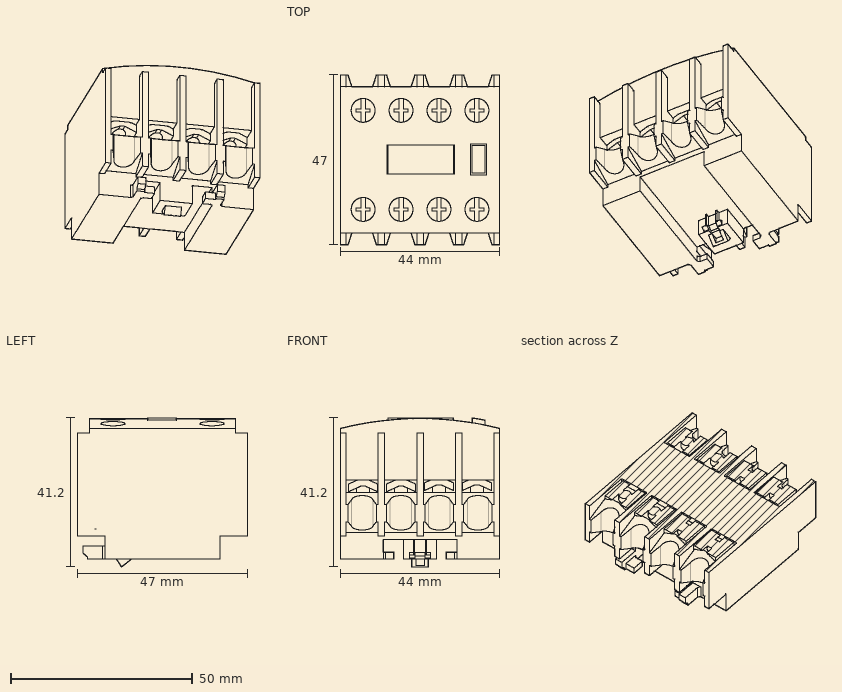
import cadquery as cq
import math

WIDTH = 44.0
DEPTH = 47.0
BODY_DEPTH = 40.4
BASE_DEPTH = 31.85
SHOULDER_Z = 36.15
CROWN_Z = 38.85
TOP_Z = 39.05

CELLS = 4
RIB_THICKNESS = 1.8
END_RIB_THICKNESS = 1.6
RIB_BOTTOM_Z = 6.4
RIB_TOP_Z = 34.87
CELL_WIDTH = (WIDTH - 2 * END_RIB_THICKNESS - (CELLS - 1) * RIB_THICKNESS) / CELLS
CELL_PITCH = CELL_WIDTH + RIB_THICKNESS

DECK_TOP_INNER_Z = 18.4
DECK_TOP_OUTER_Z = 15.15
DECK_BOTTOM_OUTER_Z = 10.3
DECK_BOTTOM_INNER_Z = 7.35
FUNNEL_MOUTH_WIDTH = 7.8
FUNNEL_THROAT_WIDTH = 5.85
FUNNEL_TAPER_LENGTH = 3.05
FUNNEL_DEPTH = 5.7

POCKET_TOP_Z = 21.85
SCREW_PITCH = 10.5
SCREW_Y = 13.7
SHANK_DIAMETER = 3.55
HOLE_DIAMETER = 6.6
SCREW_HEAD_Z = 24.45
SLOT_WIDTH = 1.2
CROSS_LENGTH = 3.8
CROSS_WIDTH = 0.85
SLOT_DEPTH = 0.95
PLATE_SIZE = 8.0
PLATE_EDGE_BOTTOM = 0.3
PLATE_EDGE_HEIGHT = 2.1
PLATE_RISE = 1.5
PLATE_FLAT_WIDTH = 1.3
RAISED_PLATE_LIFT = 0.35
PLATE_CLEARANCE = 0.3
POCKET_BACK_Y = SCREW_Y - PLATE_SIZE / 2 - PLATE_CLEARANCE

LABEL_LENGTH = 18.1
LABEL_HEIGHT = 8.0
LABEL_X = 0.2
LABEL_Y = 0.15
LABEL_GAP = 0.25
LABEL_GROOVE_DEPTH = 0.25
BUTTON_WIDTH = 3.55
BUTTON_LENGTH = 7.6
BUTTON_X = 16.15
BUTTON_WELL_WIDTH = 4.5
BUTTON_WELL_LENGTH = 8.5
BUTTON_WELL_DEPTH = 0.95

CHANNEL_WIDTH = 20.3
CHANNEL_HEIGHT = 5.4
TONGUE_WIDTH = 9.15
TONGUE_FRONT_Y = 7.05
TONGUE_RIB_X = 1.65
TONGUE_RIB_THICKNESS = 0.38
TONGUE_RIB_BOTTOM_Z = 1.4
LATCH_WIDTH = 4.65
LATCH_FRONT_Y = 8.55
LATCH_TIP_Y = 11.35
LATCH_BACK_Y = 12.75
LATCH_TIP_Z = -2.15
LATCH_NOTCH_WIDTH = 2.35
LATCH_NOTCH_Z = -1.7
LUG_SPREAD = 5.75
LUG_GAP = 2.73
LUG_TOP_Z = 1.85
LUG_EDGE_Z = 1.18
LUG_BOTTOM_Z = 0.35
LUG_REACH = 1.15
RECESS_STEP_Z = 0.9
RECESS_DEPTH = 1.2

FOOT_END_Y = 22.0
FOOT_LEG_WIDTH = 2.25
FOOT_LEG_HEIGHT = 3.7
FOOT_TOE_WIDTH = 2.9
FOOT_TOE_HEIGHT = 1.97
FOOT_GUSSET = 0.6
FOOT_TOE_END_Y = BODY_DEPTH / 2
FOOT_SOLE_INSET = 1.2
FOOT_BEVEL_TOP_Z = 1.7
FOOT_BEVEL_BOTTOM_Z = 0.6

CROWN_RISE = CROWN_Z - SHOULDER_Z
CROWN_RADIUS = ((WIDTH / 2) ** 2 + CROWN_RISE ** 2) / (2 * CROWN_RISE)
CROWN_CENTRE_Z = CROWN_Z - CROWN_RADIUS


def block(x0, x1, y0, y1, z0, z1):
    """Box between two opposite corners."""
    return cq.Workplane("XY").box(x1 - x0, y1 - y0, z1 - z0, centered=False).translate((x0, y0, z0))


def slab(width, y0, y1, z0, z1, x=0):
    """Box of the given X width, centred on x."""
    return block(x - width / 2, x + width / 2, y0, y1, z0, z1)


def side_profile(points, x0, x1):
    """Extrude a (Y, Z) outline from x0 to x1."""
    return cq.Workplane("YZ").workplane(offset=x0).polyline(points).close().extrude(x1 - x0)


def both_sides(solid):
    """The solid together with its mirror image at the other Y side."""
    return solid.union(solid.mirror("XZ"))


def row(count, pitch):
    """X positions of a row centred on zero."""
    return [(i - (count - 1) / 2) * pitch for i in range(count)]


def crown_z(x):
    """Height of the crowned top at x."""
    return CROWN_CENTRE_Z + math.sqrt(CROWN_RADIUS ** 2 - x ** 2)


def make_body():
    half = WIDTH / 2
    upper = (
        cq.Workplane("XZ")
        .moveTo(-half, POCKET_TOP_Z)
        .lineTo(half, POCKET_TOP_Z)
        .lineTo(half, SHOULDER_Z)
        .threePointArc((0, CROWN_Z), (-half, SHOULDER_Z))
        .close()
        .extrude(BODY_DEPTH / 2, both=True)
    )
    return upper.union(slab(WIDTH, -BASE_DEPTH / 2, BASE_DEPTH / 2, 0, POCKET_TOP_Z))


def make_ribs():
    y = DEPTH / 2
    end_x = (WIDTH - END_RIB_THICKNESS) / 2
    ribs = slab(END_RIB_THICKNESS, -y, y, RIB_BOTTOM_Z, RIB_TOP_Z, -end_x)
    ribs = ribs.union(slab(END_RIB_THICKNESS, -y, y, RIB_BOTTOM_Z, RIB_TOP_Z, end_x))
    for x in row(CELLS - 1, CELL_PITCH):
        ribs = ribs.union(slab(RIB_THICKNESS, -y, y, RIB_BOTTOM_Z, RIB_TOP_Z, x))
    return ribs


def make_decks():
    """Sloped blocks on the -Y side, with one tapered, round-ended funnel per cell."""
    outer = -DEPTH / 2
    inner = -BASE_DEPTH / 2
    outline = [
        (inner, DECK_TOP_INNER_Z),
        (outer, DECK_TOP_OUTER_Z),
        (outer, DECK_BOTTOM_OUTER_Z),
        (inner, DECK_BOTTOM_INNER_Z),
    ]
    decks = side_profile(outline, -WIDTH / 2, WIDTH / 2)
    mouth = FUNNEL_MOUTH_WIDTH / 2
    throat = FUNNEL_THROAT_WIDTH / 2
    throat_y = outer + FUNNEL_TAPER_LENGTH
    for x in row(CELLS, CELL_PITCH):
        funnel = (
            cq.Workplane("XY", origin=(x, 0, 0))
            .moveTo(-mouth, outer)
            .lineTo(-throat, throat_y)
            .threePointArc((0, outer + FUNNEL_DEPTH), (throat, throat_y))
            .lineTo(mouth, outer)
            .close()
            .extrude(POCKET_TOP_Z)
        )
        decks = decks.cut(funnel)
    return decks


def make_pockets():
    pockets = cq.Workplane("XY")
    for x in row(CELLS, CELL_PITCH):
        pocket = slab(CELL_WIDTH, -BODY_DEPTH / 2, -POCKET_BACK_Y, DECK_TOP_INNER_Z, POCKET_TOP_Z, x)
        pockets = pockets.add(pocket)
    return pockets.combine()


def make_clamp(x):
    """Roof-shaped clamp plate on its screw shank, in the -Y pocket."""
    lift = RAISED_PLATE_LIFT if x > 0 else 0
    low = DECK_TOP_INNER_Z + PLATE_EDGE_BOTTOM + lift
    high = low + PLATE_EDGE_HEIGHT
    edge = PLATE_SIZE / 2
    flat = PLATE_FLAT_WIDTH / 2
    plate = (
        cq.Workplane("XZ", origin=(x, -SCREW_Y + edge, 0))
        .polyline([
            (-edge, low),
            (-flat, low + PLATE_RISE),
            (flat, low + PLATE_RISE),
            (edge, low),
            (edge, high),
            (flat, high + PLATE_RISE),
            (-flat, high + PLATE_RISE),
            (-edge, high),
        ])
        .close()
        .extrude(PLATE_SIZE)
    )
    shank = (
        cq.Workplane("XY", origin=(x, -SCREW_Y, DECK_TOP_INNER_Z))
        .circle(SHANK_DIAMETER / 2)
        .extrude(POCKET_TOP_Z - DECK_TOP_INNER_Z)
    )
    return plate.union(shank)


def make_screw_hole(x):
    """Cutter on the -Y side: driver hole down to the screw head, with the cross slot in the head."""
    hole = (
        cq.Workplane("XY", origin=(x, -SCREW_Y, SCREW_HEAD_Z))
        .circle(HOLE_DIAMETER / 2)
        .extrude(TOP_Z - SCREW_HEAD_Z)
    )
    slot = (
        cq.Workplane("XY", origin=(x, -SCREW_Y, SCREW_HEAD_Z))
        .rect(SLOT_WIDTH, HOLE_DIAMETER)
        .extrude(-SLOT_DEPTH)
    )
    cross = (
        cq.Workplane("XY", origin=(x, -SCREW_Y, SCREW_HEAD_Z))
        .rect(CROSS_LENGTH, CROSS_WIDTH)
        .extrude(-SLOT_DEPTH)
    )
    slot = slot.intersect(hole.translate((0, 0, -SLOT_DEPTH)))
    return hole.union(slot).union(cross)


def add_label(part):
    y0 = LABEL_Y - LABEL_HEIGHT / 2
    y1 = LABEL_Y + LABEL_HEIGHT / 2
    bed_z = crown_z(LABEL_X + LABEL_LENGTH / 2) - LABEL_GROOVE_DEPTH
    part = part.cut(slab(LABEL_LENGTH + 2 * LABEL_GAP, y0, y1, bed_z, TOP_Z, LABEL_X))
    return part.union(slab(LABEL_LENGTH, y0, y1, bed_z, TOP_Z, LABEL_X))


def add_button(part):
    """Button with a crowned top, standing in a rectangular well."""
    floor_z = crown_z(BUTTON_X + BUTTON_WELL_WIDTH / 2) - BUTTON_WELL_DEPTH
    well_y = BUTTON_WELL_LENGTH / 2
    part = part.cut(slab(BUTTON_WELL_WIDTH, LABEL_Y - well_y, LABEL_Y + well_y, floor_z, TOP_Z, BUTTON_X))
    button_y = BUTTON_LENGTH / 2
    button = slab(BUTTON_WIDTH, LABEL_Y - button_y, LABEL_Y + button_y, floor_z, TOP_Z, BUTTON_X)
    top_radius = math.hypot(BUTTON_X - BUTTON_WIDTH / 2, TOP_Z - CROWN_CENTRE_Z)
    crown = (
        cq.Workplane("XZ", origin=(0, 0, CROWN_CENTRE_Z))
        .circle(top_radius)
        .extrude(BODY_DEPTH / 2, both=True)
    )
    return part.union(button.intersect(crown))


def make_tongue():
    front = TONGUE_FRONT_Y
    tongue = slab(TONGUE_WIDTH, front, BASE_DEPTH / 2, 0, CHANNEL_HEIGHT)
    recess = [
        (front, 0),
        (front, LUG_TOP_Z),
        (front + RECESS_DEPTH, RECESS_STEP_Z),
        (front + RECESS_DEPTH, 0),
    ]
    tongue = tongue.cut(side_profile(recess, -LUG_GAP / 2, LUG_GAP / 2))
    lug = [
        (front, LUG_TOP_Z),
        (front - LUG_REACH, LUG_EDGE_Z),
        (front, LUG_BOTTOM_Z),
    ]
    lug_inner = LUG_GAP / 2
    lug_outer = LUG_SPREAD / 2
    for side in (-1, 1):
        x0, x1 = sorted((side * lug_inner, side * lug_outer))
        tongue = tongue.union(side_profile(lug, x0, x1))
        rib = slab(
            TONGUE_RIB_THICKNESS,
            front - LUG_REACH, front,
            TONGUE_RIB_BOTTOM_Z, CHANNEL_HEIGHT,
            side * TONGUE_RIB_X,
        )
        tongue = tongue.union(rib)
    return tongue


def make_latch():
    """Wedge under the tongue, with a notch in its front slope."""
    outline = [(LATCH_FRONT_Y, 0), (LATCH_TIP_Y, LATCH_TIP_Z), (LATCH_BACK_Y, 0)]
    latch = side_profile(outline, -LATCH_WIDTH / 2, LATCH_WIDTH / 2)
    notch_depth = (LATCH_TIP_Y - LATCH_FRONT_Y) * LATCH_NOTCH_Z / LATCH_TIP_Z
    return latch.cut(slab(LATCH_NOTCH_WIDTH, LATCH_FRONT_Y, LATCH_FRONT_Y + notch_depth, LATCH_TIP_Z, 0))


def make_foot():
    """Rear foot on the -X side: a leg behind the base and a toe reaching under the channel."""
    heel_y = BASE_DEPTH / 2
    wall_x = -CHANNEL_WIDTH / 2
    leg_x = wall_x - FOOT_LEG_WIDTH
    leg = block(leg_x, wall_x, heel_y, FOOT_END_Y, 0, FOOT_LEG_HEIGHT)
    outer_gusset = (
        cq.Workplane("XY")
        .polyline([(leg_x, heel_y), (leg_x - FOOT_GUSSET, heel_y), (leg_x, heel_y + FOOT_GUSSET)])
        .close()
        .extrude(FOOT_LEG_HEIGHT)
    )
    toe_x = wall_x + FOOT_TOE_WIDTH
    toe_y = heel_y + FOOT_GUSSET
    toe = (
        cq.Workplane("XY")
        .polyline([
            (wall_x, heel_y),
            (wall_x + FOOT_GUSSET, toe_y),
            (toe_x, toe_y),
            (toe_x, FOOT_TOE_END_Y),
            (wall_x, FOOT_TOE_END_Y),
        ])
        .close()
        .extrude(FOOT_TOE_HEIGHT)
    )
    bevel = [
        (FOOT_END_Y, 0),
        (FOOT_END_Y, FOOT_BEVEL_TOP_Z),
        (FOOT_END_Y - FOOT_SOLE_INSET, FOOT_BEVEL_BOTTOM_Z),
        (FOOT_END_Y - FOOT_SOLE_INSET, 0),
    ]
    foot = leg.union(outer_gusset).union(toe)
    return foot.cut(side_profile(bevel, leg_x, wall_x))


result = make_body().union(make_ribs())
result = result.union(both_sides(make_decks()))
result = result.cut(both_sides(make_pockets()))
for screw_x in row(CELLS, SCREW_PITCH):
    result = result.union(both_sides(make_clamp(screw_x)))
    result = result.cut(both_sides(make_screw_hole(screw_x)))
result = add_label(result)
result = add_button(result)
result = result.cut(slab(CHANNEL_WIDTH, -BASE_DEPTH / 2, BASE_DEPTH / 2, 0, CHANNEL_HEIGHT))
result = result.union(make_tongue()).union(make_latch())
left_foot = make_foot()
result = result.union(left_foot).union(left_foot.mirror("YZ"))